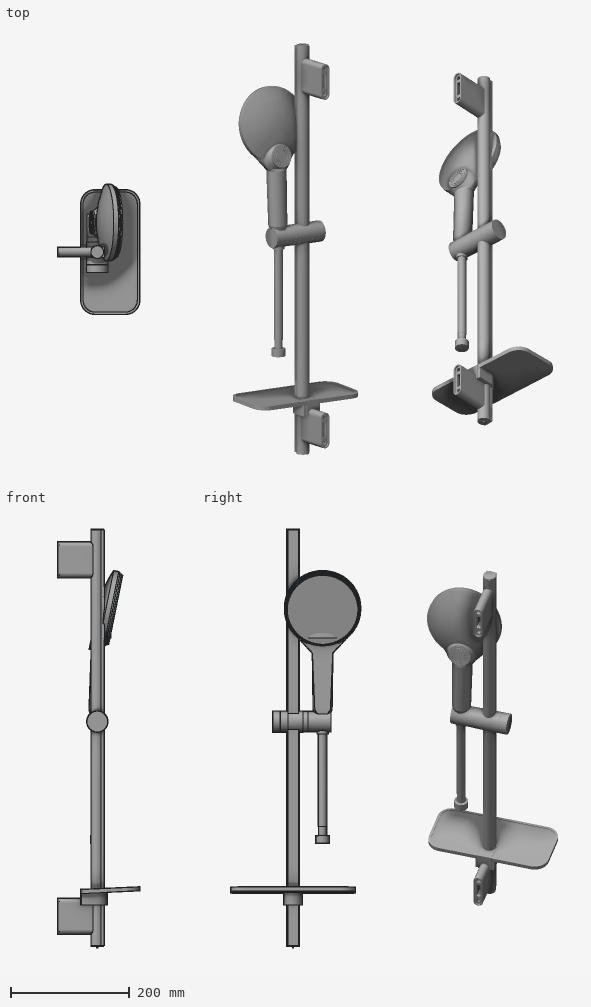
import cadquery as cq
import math

rail_diameter = 21.8
rail_length = 703.4
rail_spine_start_x = 6.3
rail_spine_end_x = 12.0
cap_diameter = 21.4
cap_thickness = 1.8
drain_nub_diameter = 2.0
drain_nub_length = 2.06

wall_x = -66.9
bracket_height = 61.2
bracket_width = 16.4
lower_bracket_z = 51.2
upper_bracket_drop = 52.3
bracket_lip = 2.0
bracket_lip_depth = 3.0
bracket_core_width = 7.0
bracket_core_length = 50.0
bracket_core_depth = 20.0
bracket_rib_spacing = 31.0
bracket_rib_thickness = 6.0

shelf_length = 210.2
shelf_width = 99.6
shelf_thickness = 7.2
shelf_corner_radius = 24.0
shelf_rim = 4.2
shelf_recess = 1.0
shelf_tilt = 2.6
shelf_right_x = 71.9
shelf_low_edge_z = 89.4
clamp_left_x = -27.0
clamp_radius = 16.0
clamp_center_x = 1.0
clamp_bottom_z = 70.0
clamp_top_z = 93.0
tab_width = 23.2
tab_left_x = -28.2
tab_right_x = 11.5
tab_top_z = 97.2

slider_z = 378.9
slider_diameter = 36.0
holder_diameter = 35.0
holder_end_y = 64.0
holder_start_y = 25.5
collar_start_y = 17.0
collar_diameter = 35.5
knob_start_y = -21.3
knob_end_y = -34.5
slider_seam_y = -8.5
seam_width = 0.6
seam_depth = 0.4

shower_y = 49.7
head_radius = 64.47
head_tilt = 11.5
face_center_x = 31.0
face_center_z = 566.8
face_radius = 59.5
face_step = 2.6
face_step_count = 3
rim_depth = 16.5
dome_depth = 30.0
button_z_on_head = -54.5
button_diameter = 39.0
button_height = 3.0
button_face_depth = 30.8
button_ring_count = 4
button_ring_width = 1.2
button_ring_depth = 0.8
button_center_diameter = 17.0
button_base_diameter = 56.0
handle_bottom_z = 399.0
handle_neck_z = 494.0
handle_flat_x = 11.6
handle_flat_top_z = 520.0
grip_center_x = 2.0
grip_radius = 16.2
neck_radius = 17.6
neck_center_x = 7.0
neck_top_z = 530.0
neck_top_center_x = 14.0
neck_top_x_radius = 9.0
neck_top_y_radius = 51.0
seat_radius = 8.0

hose_diameter = 15.0
hose_collar_diameter = 19.5
hose_collar_z = 358.0
ferrule_z = 202.0
ferrule_diameter = 14.2
nut_top_z = 187.0
nut_bottom_z = 174.0
nut_diameter = 23.4


def cylinder_z(diameter, z_low, z_high, y=0.0):
    """Upright cylinder on X = 0."""
    return cq.Workplane("XY", origin=(0, y, z_low)).circle(diameter / 2).extrude(z_high - z_low)


def cylinder_y(diameter, y_low, y_high):
    """Cylinder along Y on the slider axis."""
    plane = cq.Workplane("XZ", origin=(0, y_high, slider_z))
    return plane.circle(diameter / 2).extrude(y_high - y_low)


def make_rail():
    """Round bar with a flat spine on its +X side, narrower caps and a nub under the lower cap."""
    bar = cylinder_z(rail_diameter, cap_thickness, rail_length - cap_thickness)
    caps = cylinder_z(cap_diameter, 0, rail_length)
    nub = cylinder_z(drain_nub_diameter, -drain_nub_length, cap_thickness)
    spine_half_width = math.sqrt((rail_diameter / 2) ** 2 - rail_spine_start_x**2)
    spine = (
        cq.Workplane("XY", origin=(rail_spine_end_x / 2, 0, cap_thickness))
        .rect(rail_spine_end_x, 2 * spine_half_width)
        .extrude(rail_length - 2 * cap_thickness)
    )
    return bar.union(spine).union(caps).union(nub)


def make_bracket(center_z):
    """Stadium-section arm from the wall to the rail, with a ribbed pocket in its wall end."""
    wall = cq.Workplane("YZ", origin=(wall_x, 0, center_z))
    arm = wall.slot2D(bracket_height, bracket_width, 90).extrude(-wall_x)
    lip_pocket = wall.slot2D(
        bracket_height - 2 * bracket_lip, bracket_width - 2 * bracket_lip, 90
    ).extrude(bracket_lip_depth)
    core = wall.slot2D(bracket_core_length, bracket_core_width, 90).extrude(bracket_core_depth)
    ribs = (
        wall.workplane(offset=bracket_lip_depth)
        .rarray(1, bracket_rib_spacing, 1, 2)
        .rect(bracket_width, bracket_rib_thickness)
        .extrude(bracket_core_depth)
    )
    return arm.cut(lip_pocket).cut(core.cut(ribs))


def make_shelf():
    """Rounded tray with a raised rim, rising slightly away from the wall."""
    left_x = shelf_right_x - shelf_width
    center_x = left_x + shelf_width / 2
    base = cq.Workplane("XY", origin=(center_x, 0, shelf_low_edge_z))
    tray = base.rect(shelf_width, shelf_length).extrude(shelf_thickness)
    tray = tray.edges("|Z").fillet(shelf_corner_radius)
    recess = (
        base.workplane(offset=shelf_thickness - shelf_recess)
        .rect(shelf_width - 2 * shelf_rim, shelf_length - 2 * shelf_rim)
        .extrude(shelf_recess)
        .edges("|Z")
        .fillet(shelf_corner_radius - shelf_rim)
    )
    hinge_start = (left_x, 0, shelf_low_edge_z)
    hinge_end = (left_x, -1, shelf_low_edge_z)
    return tray.cut(recess).rotate(hinge_start, hinge_end, shelf_tilt)


def make_shelf_clamp():
    """Block round the rail: flat towards the wall, round on the far side, with a raised tab."""
    block = (
        cq.Workplane("XY", origin=(0, 0, clamp_bottom_z))
        .moveTo(clamp_center_x, -clamp_radius)
        .threePointArc((clamp_center_x + clamp_radius, 0), (clamp_center_x, clamp_radius))
        .lineTo(clamp_left_x, clamp_radius)
        .lineTo(clamp_left_x, -clamp_radius)
        .close()
        .extrude(clamp_top_z - clamp_bottom_z)
    )
    tab_length = tab_right_x - tab_left_x
    tab_center_x = tab_left_x + tab_length / 2
    tab = (
        cq.Workplane("XY", origin=(tab_center_x, 0, clamp_bottom_z))
        .rect(tab_length, tab_width)
        .extrude(tab_top_z - clamp_bottom_z)
    )
    return block.union(tab)


def make_slider():
    """Cross cylinder that grips the rail, with the shower holder at +Y and the knob at -Y."""
    body = cylinder_y(slider_diameter, knob_end_y, collar_start_y)
    for seam_y in (slider_seam_y, knob_start_y):
        ring = cylinder_y(slider_diameter, seam_y - seam_width / 2, seam_y + seam_width / 2)
        core = cylinder_y(slider_diameter - 2 * seam_depth, knob_end_y, collar_start_y)
        body = body.cut(ring.cut(core))
    collar = cylinder_y(collar_diameter, collar_start_y, holder_start_y)
    holder = cylinder_y(holder_diameter, holder_start_y, holder_end_y)
    return body.union(collar).union(holder)


def head_plane():
    """Plane of the spray face: local X points up the face, the normal points out of it."""
    tilt = math.radians(head_tilt)
    return cq.Plane(
        origin=(face_center_x, shower_y, face_center_z),
        xDir=(math.sin(tilt), 0, math.cos(tilt)),
        normal=(math.cos(tilt), 0, -math.sin(tilt)),
    )


def make_head():
    """Turned spray head: stepped face towards +X and slightly down, straight rim, domed back."""
    face = head_plane()
    profile = cq.Workplane(
        cq.Plane(origin=face.origin.toTuple(), xDir=face.xDir.toTuple(), normal=(0, 1, 0))
    )
    profile = profile.moveTo(0, 0).lineTo(face_radius, 0)
    step_rise = (head_radius - face_radius) / face_step_count
    for step in range(face_step_count):
        step_radius = face_radius + step * step_rise
        step_depth = (step + 1) * face_step
        profile = profile.lineTo(step_radius, -step_depth)
        profile = profile.lineTo(step_radius + step_rise, -step_depth)

    dome_rise = dome_depth - rim_depth
    dome_radius = (head_radius**2 + dome_rise**2) / (2 * dome_rise)
    mid_radius = head_radius / 2
    mid_depth = dome_depth - dome_radius + math.sqrt(dome_radius**2 - mid_radius**2)
    profile = (
        profile.lineTo(head_radius, -rim_depth)
        .threePointArc((mid_radius, -mid_depth), (0, -dome_depth))
        .close()
    )
    return profile.revolve(360, (0, 0), (0, 1))


def make_button():
    """Round button with concentric grooves, on a conical shoulder at the back of the head."""
    spot = cq.Workplane(head_plane()).center(button_z_on_head, 0)
    shoulder_depth = button_face_depth - button_height
    shoulder = (
        spot.workplane(offset=-rim_depth)
        .circle(button_base_diameter / 2)
        .workplane(offset=rim_depth - shoulder_depth)
        .circle(button_diameter / 2)
        .loft()
    )
    button_face = spot.workplane(offset=-button_face_depth)
    button = button_face.circle(button_diameter / 2).extrude(button_face_depth - rim_depth)
    button = button.union(shoulder)
    groove_pitch = (button_diameter - button_center_diameter) / 2 / button_ring_count
    for ring in range(button_ring_count):
        inner_radius = button_center_diameter / 2 + ring * groove_pitch
        groove = (
            button_face.circle(inner_radius + button_ring_width)
            .circle(inner_radius)
            .extrude(button_ring_depth)
        )
        button = button.cut(groove)
    return button


def section_wire(center_x, z, x_radius, y_radius):
    """Oval cross-section of the hand shower at height z."""
    section = cq.Workplane("XY", origin=(center_x, shower_y, z)).ellipse(x_radius, y_radius)
    return section.wires().val()


def make_handle():
    """Round grip with a flat front that flares into the head, on a cone seated in the holder."""
    seat = section_wire(0, slider_z, seat_radius, seat_radius)
    grip_bottom = section_wire(grip_center_x, handle_bottom_z, grip_radius, grip_radius)
    neck = section_wire(neck_center_x, handle_neck_z, neck_radius, neck_radius)
    shoulder = section_wire(neck_top_center_x, neck_top_z, neck_top_x_radius, neck_top_y_radius)
    sections = [seat, grip_bottom, neck, shoulder]
    handle = cq.Workplane("XY")
    for lower, upper in zip(sections, sections[1:]):
        handle = handle.union(cq.Workplane(cq.Solid.makeLoft([lower, upper], True)))
    front_waste = (
        cq.Workplane("YZ", origin=(handle_flat_x, shower_y, slider_z))
        .rect(4 * neck_radius, 2 * (handle_flat_top_z - slider_z))
        .extrude(2 * neck_radius)
    )
    return handle.cut(front_waste)


def make_hose():
    """Straight hose under the holder, with a collar at its top and a ferrule and nut below."""
    collar = cylinder_z(hose_collar_diameter, hose_collar_z, slider_z, shower_y)
    hose = cylinder_z(hose_diameter, ferrule_z, slider_z, shower_y)
    ferrule = cylinder_z(ferrule_diameter, nut_top_z, ferrule_z, shower_y)
    nut = cylinder_z(nut_diameter, nut_bottom_z, nut_top_z, shower_y)
    return collar.union(hose).union(ferrule).union(nut)


components = (
    make_shelf,
    make_shelf_clamp,
    make_slider,
    make_head,
    make_button,
    make_handle,
    make_hose,
)
result = make_rail()
for bracket_z in (lower_bracket_z, rail_length - upper_bracket_drop):
    result = result.union(make_bracket(bracket_z))
for make_component in components:
    result = result.union(make_component())